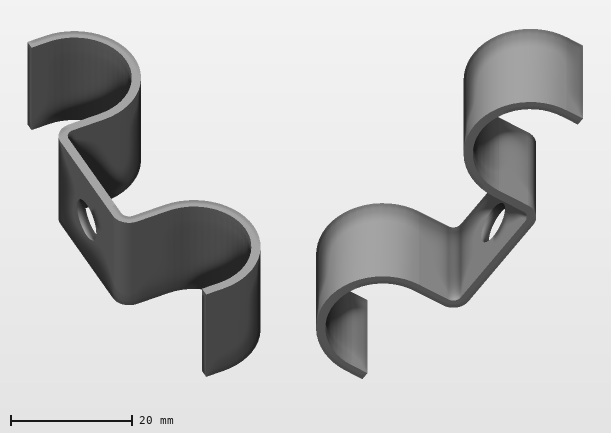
import cadquery as cq

length = 66.55
depth = 19.75
strip_width = 19.05
thickness = 1.5
arch_diameter = 22.0
lip_length = 3.2
bend_radius = 3.0
hole_diameter = 7.2

arch_radius = arch_diameter / 2
arch_center_x = length / 2 - arch_radius
arch_inner_radius = arch_radius - thickness
wall_inner_x = arch_center_x - arch_radius
wall_outer_x = wall_inner_x + thickness
web_outer_y = arch_radius - depth
web_inner_y = web_outer_y + thickness
bend_inner_radius = bend_radius - thickness
bend_center_x = wall_outer_x - bend_radius
bend_center_y = web_outer_y + bend_radius


def make_half_strip():
    """Strip from the middle of the web to the free end on the +X side."""
    return (
        cq.Workplane("XY")
        .workplane(offset=-strip_width / 2)
        .moveTo(0, web_outer_y)
        .lineTo(bend_center_x, web_outer_y)
        .radiusArc((wall_outer_x, bend_center_y), -bend_radius)
        .lineTo(wall_outer_x, 0)
        .threePointArc((arch_center_x, arch_inner_radius), (arch_center_x + arch_inner_radius, 0))
        .lineTo(arch_center_x + arch_inner_radius, -lip_length)
        .lineTo(length / 2, -lip_length)
        .lineTo(length / 2, 0)
        .threePointArc((arch_center_x, arch_radius), (wall_inner_x, 0))
        .lineTo(wall_inner_x, bend_center_y)
        .radiusArc((bend_center_x, web_inner_y), bend_inner_radius)
        .lineTo(0, web_inner_y)
        .close()
        .extrude(strip_width)
    )


def make_screw_hole():
    """Cutter through the middle of the web, along Y."""
    return (
        cq.Workplane("XZ", origin=(0, web_inner_y, 0))
        .circle(hole_diameter / 2)
        .extrude(thickness)
    )


half_strip = make_half_strip()
clip = half_strip.union(half_strip.mirror("YZ")).clean()
result = clip.cut(make_screw_hole())